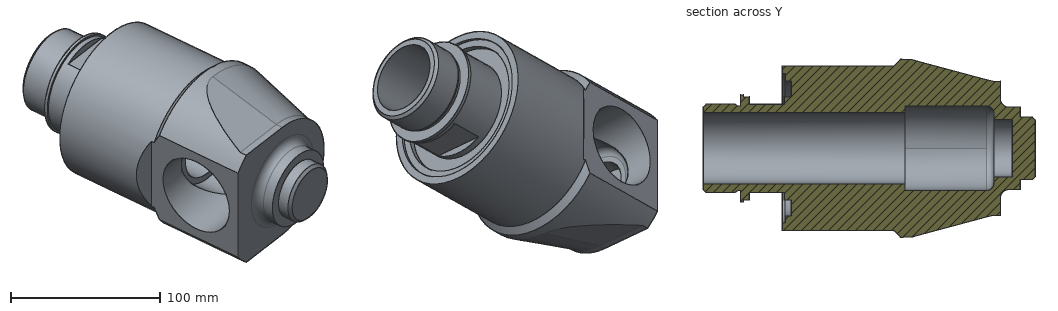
import cadquery as cq
import math

relief_start, neck_start, flange_start, flange_end = 21.4, 23.4, 25.0, 27.1
flats_start, flats_end = 31.0, 54.3
body_start, body_end = 53.0, 127.7
taper_start, taper_end = 139.7, 194.0
head_end, collar_start, collar_end = 199.1, 205.0, 212.5
length = 222.5

spigot_radius, neck_radius = 29.8, 28.5
flange_radius, shaft_radius = 36.0, 34.7
body_diameter, head_diameter = 110.5, 119.5
body_radius, head_radius = body_diameter / 2, head_diameter / 2
collar_radius, stub_radius = 27.8, 21.1
tip_chamfer = 2.0

flat_height = 29.5
taper_angle = 15.0
tail_radius = head_radius - (taper_end - taper_start) * math.tan(math.radians(taper_angle))
port_face = -48.0
port_face_start = 125.5
collar_fillet = collar_start - head_end

outer_recess_radius, outer_recess_depth = 50.0, 2.0
inner_recess_radius, inner_recess_depth = 45.2, 6.0

bore_radius = 23.8
chamber_end = 194.7
chamber_fillet = 5.1
pocket_radius, pocket_end = 19.1, 207.0
port_x, port_radius, port_end = 163.5, 28.3, 0.0
chamber_radius = port_radius
chamber_start = port_x - port_radius


def turned(points):
    """Revolve an (x, radius) outline about the X axis."""
    return cq.Workplane("XY").polyline(points).close().revolve(360, (0, 0, 0), (1, 0, 0))


def rod(start, end, radius):
    return cq.Workplane("YZ", origin=(start, 0, 0)).circle(radius).extrude(end - start)


def make_front_shaft():
    shaft = turned([
        (0, 0), (0, spigot_radius - tip_chamfer), (tip_chamfer, spigot_radius),
        (relief_start, spigot_radius), (neck_start, neck_radius),
        (flange_start, neck_radius), (flange_start, flange_radius),
        (flange_end, flange_radius), (flange_end, shaft_radius),
        (body_end, shaft_radius), (body_end, 0),
    ])
    flats_length = flats_end - flats_start
    for side in (1, -1):
        flat_cut = cq.Workplane("XY").box(
            flats_length, 2 * shaft_radius, shaft_radius, centered=(False, True, True)
        ).translate((flats_start, 0, side * (flat_height + shaft_radius / 2)))
        shaft = shaft.cut(flat_cut)
    return shaft


def make_body():
    body = rod(body_start, body_end, body_radius)
    body = body.cut(rod(body_start, body_start + outer_recess_depth, outer_recess_radius))
    return body.cut(rod(body_start, body_start + inner_recess_depth, inner_recess_radius))


def make_head():
    """Round head whose taper is conical for Y > 0 and flat-sided for Y < 0."""
    shoulder_end = body_end + head_radius - body_radius
    profile = [
        (body_end, 0), (body_end, body_radius), (shoulder_end, head_radius),
        (taper_start, head_radius), (taper_end, tail_radius),
        (head_end, tail_radius), (head_end, 0),
    ]
    cone_half = turned(profile).intersect(
        cq.Workplane("XY").box(length, head_radius, 2 * head_radius, centered=(False, False, True)))
    round_bar = turned([
        (body_end, 0), (body_end, body_radius), (shoulder_end, head_radius),
        (head_end, head_radius), (head_end, 0),
    ])
    wedge_outline = [
        (body_end, head_radius), (taper_start, head_radius),
        (taper_end, tail_radius), (head_end, tail_radius),
    ]
    mirrored = [(x, -z) for x, z in reversed(wedge_outline)]
    wedge = cq.Workplane("XZ").polyline(wedge_outline + mirrored).close().extrude(head_radius)
    return cone_half.union(round_bar.intersect(wedge))


def make_rear_boss():
    return (
        cq.Workplane("XY").moveTo(taper_end, 0)
        .lineTo(taper_end, collar_radius + collar_fillet)
        .lineTo(head_end, collar_radius + collar_fillet)
        .radiusArc((collar_start, collar_radius), -collar_fillet)
        .lineTo(collar_end, collar_radius).lineTo(collar_end, stub_radius)
        .lineTo(length - tip_chamfer, stub_radius)
        .lineTo(length, stub_radius - tip_chamfer).lineTo(length, 0)
        .close().revolve(360, (0, 0, 0), (1, 0, 0))
    )


def make_port_face_cut():
    """Flat on the -Y side, running out through the body at 45 degrees."""
    run_out = head_radius + port_face
    return (
        cq.Workplane("XY")
        .polyline([
            (port_face_start, port_face), (head_end, port_face),
            (head_end, -head_radius), (port_face_start - run_out, -head_radius),
        ])
        .close().extrude(head_radius, both=True)
    )


def cut_bores(part):
    part = part.cut(rod(0, chamber_start, bore_radius))
    chamber = rod(chamber_start, chamber_end, chamber_radius)
    part = part.cut(chamber.faces(">X").edges().fillet(chamber_fillet))
    part = part.cut(rod(chamber_end, pocket_end, pocket_radius))
    port_plane = cq.Workplane("XZ", origin=(port_x, port_end, 0))
    return part.cut(port_plane.circle(port_radius).extrude(head_radius + port_end))


result = make_front_shaft().union(make_body()).union(make_head())
result = result.cut(make_port_face_cut()).union(make_rear_boss())
result = cut_bores(result)